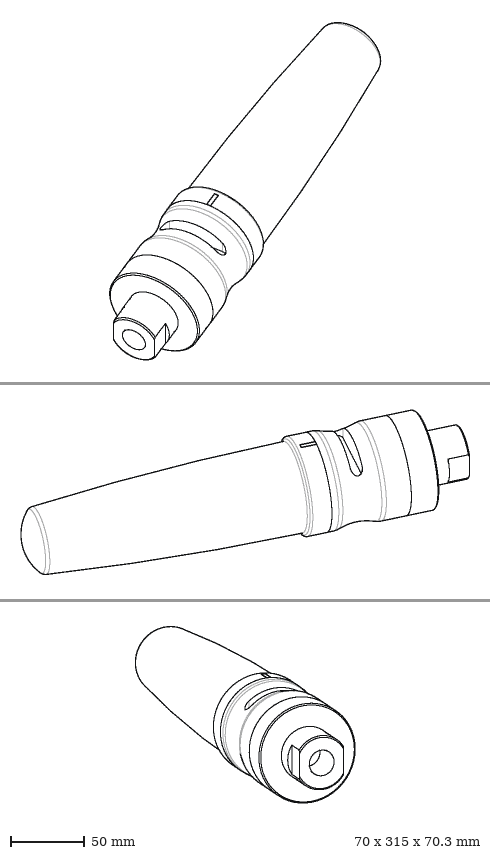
import cadquery as cq
import math

TOTAL_LENGTH = 315.0
MAIN_RADIUS = 35.0

SPINDLE_RADIUS = 19.0
SPINDLE_LENGTH = 28.0
ACROSS_FLATS = 32.0
FLATS_LENGTH = 15.5
BORE_RADIUS = 9.0
EDGE_CHAMFER = 1.0

CAP_LENGTH = 20.0

SLEEVE_LENGTH = 57.0
WAIST_OFFSET = 35.0
WAIST_RADIUS = 32.0
WAIST_ARC = 41.0
WAIST_EDGE_ROUND = 9.0
SLOT_LENGTH = 50.0
SLOT_WIDTH = 8.5
SLOT_FLOOR_Z = 16.0

COLLAR_LENGTH = 15.2
COLLAR_ROUND = 1.5
HANDLE_ARC = 2000.0
DOME_HEIGHT = 9.9
DOME_ROUND = 4.0

POINTER_WIDTH = 3.0
POINTER_LENGTH = 11.0
POINTER_HEIGHT = 0.29

CAP_START = SPINDLE_LENGTH
SLEEVE_START = CAP_START + CAP_LENGTH
WAIST_CENTER = SLEEVE_START + WAIST_OFFSET
COLLAR_START = SLEEVE_START + SLEEVE_LENGTH
COLLAR_END = COLLAR_START + COLLAR_LENGTH
HANDLE_START = COLLAR_END + COLLAR_ROUND
HANDLE_RADIUS = MAIN_RADIUS - 2 * COLLAR_ROUND


def cylinder(radius, start, length):
    """Cylinder on the Y axis that begins at Y = start."""
    return cq.Workplane("XZ", origin=(0, start, 0)).circle(radius).extrude(-length)


def revolve_about_y(profile):
    """Turn a (Y, radius) profile, drawn on the YZ plane, about the Y axis."""
    return profile.revolve(360, (0, 0, 0), (1, 0, 0))


def make_spindle():
    """Bored spindle with a chamfered tip that has two wrench flats."""
    spindle = cylinder(SPINDLE_RADIUS, 0, SPINDLE_LENGTH).faces("<Y").chamfer(EDGE_CHAMFER)
    tip = cq.Workplane("XY").box(ACROSS_FLATS, FLATS_LENGTH, 2 * SPINDLE_RADIUS, centered=(True, False, True))
    shoulder = cylinder(SPINDLE_RADIUS, FLATS_LENGTH, SPINDLE_LENGTH - FLATS_LENGTH)
    bore = cylinder(BORE_RADIUS, 0, SPINDLE_LENGTH)
    return spindle.intersect(tip.union(shoulder)).cut(bore)


def make_end_cap():
    """Disc that carries the spindle, chamfered on its outer edge."""
    return cylinder(MAIN_RADIUS, CAP_START, CAP_LENGTH).faces("<Y").chamfer(EDGE_CHAMFER)


def make_sleeve():
    """Sleeve with a hollow waist, whose arc runs smoothly into a round at each end."""
    depth = MAIN_RADIUS - WAIST_RADIUS
    arc_sum = WAIST_ARC + WAIST_EDGE_ROUND
    waist_half = math.sqrt(arc_sum**2 - (arc_sum - depth) ** 2)
    hollow_share = WAIST_ARC / arc_sum
    hollow_half = waist_half * hollow_share
    hollow_end_radius = WAIST_RADIUS + depth * hollow_share
    profile = (
        cq.Workplane("YZ")
        .moveTo(SLEEVE_START, 0)
        .lineTo(SLEEVE_START, MAIN_RADIUS)
        .lineTo(WAIST_CENTER - waist_half, MAIN_RADIUS)
        .radiusArc((WAIST_CENTER - hollow_half, hollow_end_radius), WAIST_EDGE_ROUND)
        .radiusArc((WAIST_CENTER + hollow_half, hollow_end_radius), -WAIST_ARC)
        .radiusArc((WAIST_CENTER + waist_half, MAIN_RADIUS), WAIST_EDGE_ROUND)
        .lineTo(COLLAR_START, MAIN_RADIUS)
        .lineTo(COLLAR_START, 0)
        .close()
    )
    slot = (
        cq.Workplane("XY", origin=(0, WAIST_CENTER, SLOT_FLOOR_Z))
        .slot2D(SLOT_LENGTH, SLOT_WIDTH)
        .extrude(MAIN_RADIUS)
    )
    return revolve_about_y(profile).cut(slot)


def make_collar_and_handle():
    """Collar with a rounded shoulder, and a handle that narrows along one arc up to a domed end."""
    dome_start = TOTAL_LENGTH - DOME_HEIGHT
    handle_length = dome_start - HANDLE_START
    dome_rim_radius = HANDLE_RADIUS - HANDLE_ARC + math.sqrt(HANDLE_ARC**2 - handle_length**2)
    dome_arc = (dome_rim_radius**2 + DOME_HEIGHT**2) / (2 * DOME_HEIGHT)
    profile = (
        cq.Workplane("YZ")
        .moveTo(COLLAR_START, 0)
        .lineTo(COLLAR_START, MAIN_RADIUS)
        .lineTo(COLLAR_END - COLLAR_ROUND, MAIN_RADIUS)
        .radiusArc((COLLAR_END, MAIN_RADIUS - COLLAR_ROUND), COLLAR_ROUND)
        .radiusArc((HANDLE_START, HANDLE_RADIUS), -COLLAR_ROUND)
        .radiusArc((dome_start, dome_rim_radius), HANDLE_ARC)
        .radiusArc((TOTAL_LENGTH, 0), dome_arc)
        .close()
    )
    dome_rim = cq.selectors.NearestToPointSelector((0, dome_start, 0))
    return revolve_about_y(profile).edges("%CIRCLE").edges(dome_rim).fillet(DOME_ROUND)


def make_pointer():
    """Narrow strip of a ring that stands slightly above the top of the collar."""
    ring = cylinder(MAIN_RADIUS + POINTER_HEIGHT, COLLAR_START, POINTER_LENGTH)
    strip = cq.Workplane("XZ", origin=(0, COLLAR_START, MAIN_RADIUS)).rect(POINTER_WIDTH, MAIN_RADIUS)
    return ring.intersect(strip.extrude(-POINTER_LENGTH))


def make_grip():
    """Collar, handle and pointer in one piece."""
    return make_collar_and_handle().union(make_pointer())


spindle = make_spindle().solids()
end_cap = make_end_cap().solids()
sleeve = make_sleeve().solids()
grip = make_grip().solids()

result = cq.Compound.makeCompound([spindle.val(), end_cap.val(), sleeve.val(), grip.val()])